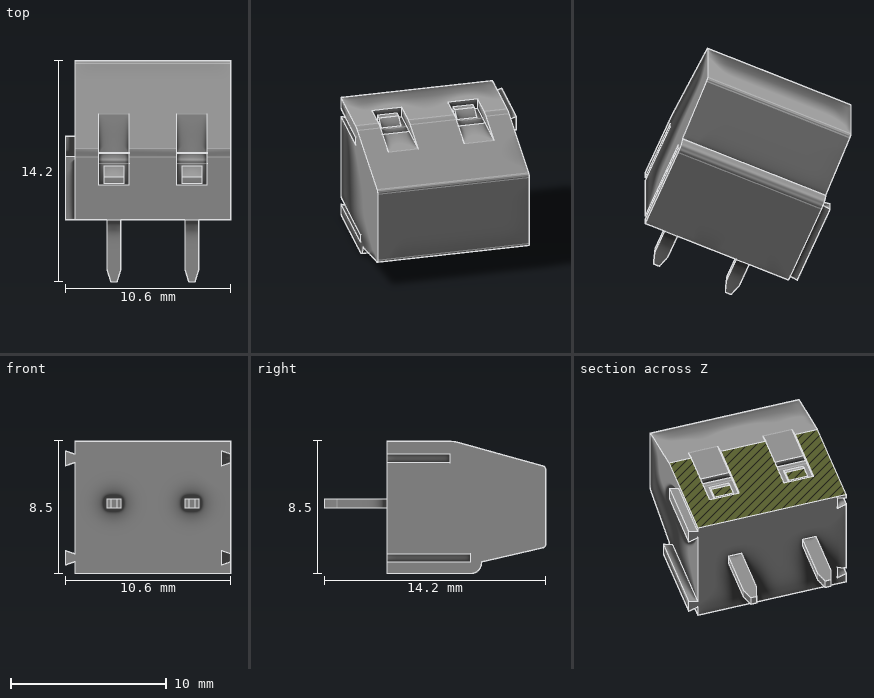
import cadquery as cq
import math


body_width = 10.0
body_length = 10.2
body_height = 8.5
top_slope_angle = math.radians(15.5)
top_slope_start = 4.31
top_bend_radius = 2.0
bottom_slope_angle = math.radians(13)
back_bottom_height = 1.70
back_edge_radius = 0.25
foot_length = 6.08
foot_radius = 0.7

pole_count = 2
pole_pitch = 5.0
pole_centers = [body_width / 2 + (i - (pole_count - 1) / 2) * pole_pitch for i in range(pole_count)]

pin_length = 4.0
pin_width = 0.9
pin_thickness = 0.6
pin_height = 4.5
pin_tip_width = 0.4
pin_tip_length = 0.8

dovetail_depth = 0.61
dovetail_flare = 0.21
dovetails = [
    (7.4, 0.97, 4.06),
    (1.02, 0.93, 5.37),
]

recess_width = 1.96
recess_front = 2.24
recess_depth = 0.69
recess_floor = body_height - recess_depth
recess_back = top_slope_start + recess_depth / math.tan(top_slope_angle)

gap_width = 3.0
gap_front = 4.24
gap_back = 4.33
gap_round_radius = 0.62
gap_bottom = recess_floor - gap_round_radius

tooth_width = 1.3
tooth_front = 2.32
tooth_crest_end = 2.74
tooth_ramp_end = 3.44
tooth_rise = 0.36


def extrude_along_x(sketch, center_x, width):
    """Extrude a YZ outline by the given width, centered on center_x."""
    return sketch.extrude(width / 2, both=True).translate((center_x, 0, 0))


def make_housing():
    back_top = body_height - (body_length - top_slope_start) * math.tan(top_slope_angle)
    foot_top = back_bottom_height - (body_length - foot_length) * math.tan(bottom_slope_angle)
    arc_center_y = foot_length - foot_radius
    arc_offset = foot_radius * math.sqrt(0.5)
    housing = (
        cq.Workplane("YZ")
        .moveTo(0, 0)
        .lineTo(arc_center_y, 0)
        .threePointArc(
            (arc_center_y + arc_offset, foot_radius - arc_offset),
            (foot_length, foot_radius),
        )
        .lineTo(foot_length, foot_top)
        .lineTo(body_length, back_bottom_height)
        .lineTo(body_length, back_top)
        .lineTo(top_slope_start, body_height)
        .lineTo(0, body_height)
        .close()
        .extrude(body_width)
    )
    housing = housing.faces(">Y").edges("|X").fillet(back_edge_radius)
    top_bend = cq.selectors.NearestToPointSelector((body_width / 2, top_slope_start, body_height))
    return housing.edges("|X").edges(top_bend).fillet(top_bend_radius)


def make_dovetail(side_x, center_z, wide_height, length):
    """Dovetail whose narrow root lies on side_x and whose wide edge lies toward -X."""
    wide = wide_height / 2
    narrow = wide - dovetail_flare
    wide_x = side_x - dovetail_depth
    outline = [
        (side_x, center_z - narrow),
        (side_x, center_z + narrow),
        (wide_x, center_z + wide),
        (wide_x, center_z - wide),
    ]
    return cq.Workplane("XZ").polyline(outline).close().extrude(-length)


def make_recess(center_x):
    block = (
        cq.Workplane("YZ")
        .moveTo(recess_front, recess_floor)
        .lineTo(recess_back, recess_floor)
        .lineTo(recess_back, body_height)
        .lineTo(recess_front, body_height)
        .close()
    )
    return extrude_along_x(block, center_x, recess_width)


def make_gap(center_x):
    round_start = gap_front - gap_round_radius
    arc_offset = gap_round_radius * math.sqrt(0.5)
    outline = (
        cq.Workplane("YZ")
        .moveTo(round_start, recess_floor)
        .threePointArc(
            (round_start + arc_offset, gap_bottom + arc_offset),
            (gap_front, gap_bottom),
        )
        .lineTo(gap_back, gap_bottom)
        .lineTo(gap_back, recess_floor)
        .close()
    )
    return extrude_along_x(outline, center_x, gap_width)


def make_tooth(center_x):
    outline = (
        cq.Workplane("YZ")
        .moveTo(tooth_front, recess_floor)
        .lineTo(tooth_front, recess_floor + tooth_rise)
        .lineTo(tooth_crest_end, recess_floor + tooth_rise)
        .lineTo(tooth_ramp_end, recess_floor)
        .close()
    )
    return extrude_along_x(outline, center_x, tooth_width)


def make_pin(center_x):
    half_width = pin_width / 2
    half_tip = pin_tip_width / 2
    shoulder_y = pin_tip_length - pin_length
    outline = [
        (-half_width, 0),
        (-half_width, shoulder_y),
        (-half_tip, -pin_length),
        (half_tip, -pin_length),
        (half_width, shoulder_y),
        (half_width, 0),
    ]
    pin = cq.Workplane("XY").polyline(outline).close().extrude(pin_thickness / 2, both=True)
    return pin.translate((center_x, 0, pin_height))


result = make_housing()

for center_z, wide_height, length in dovetails:
    result = result.union(make_dovetail(0, center_z, wide_height, length))
    result = result.cut(make_dovetail(body_width, center_z, wide_height, length))

for center_x in pole_centers:
    result = result.cut(make_recess(center_x))
    result = result.cut(make_gap(center_x))
    result = result.union(make_tooth(center_x))
    result = result.union(make_pin(center_x))